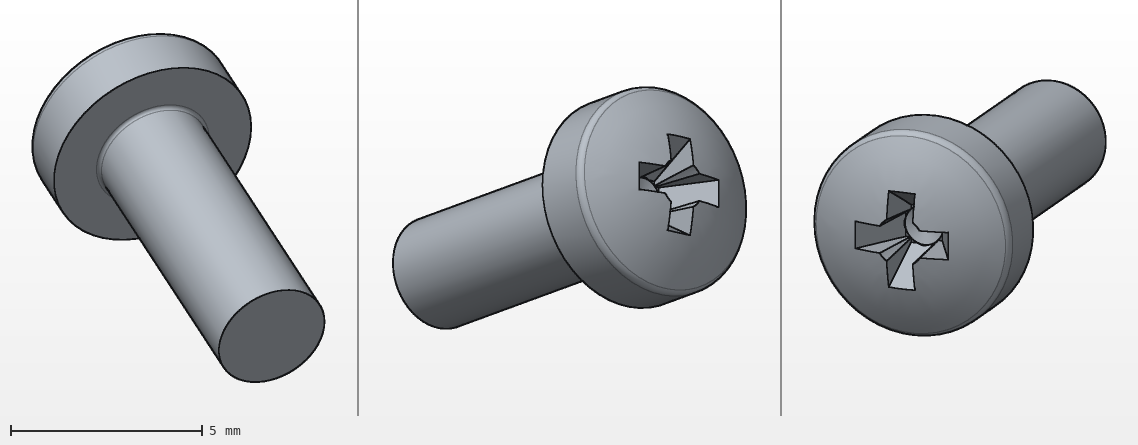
import cadquery as cq
import math

shank_length = 8.0
shank_radius = 1.5
head_radius = 2.8
head_height = 2.4
dome_radius = 5.0
rim_fillet = 0.25
neck_fillet = 0.1

wing_width = 0.74
wing_reach = 1.32
wing_floor_reach = 0.515
core_apex_radius = 0.68
core_floor_radius = 0.54
recess_depth = 1.7
tip_cone_slope = 20.0

apex_x = -head_height
floor_x = apex_x + recess_depth


def make_body():
    """Revolve the half profile of head and shank about the X axis."""
    dome_centre_x = apex_x + dome_radius
    rim_centre_r = head_radius - rim_fillet
    centre_distance = dome_radius - rim_fillet
    rim_centre_x = dome_centre_x - math.sqrt(centre_distance**2 - rim_centre_r**2)
    rim_angle = math.asin(rim_centre_r / centre_distance)

    def dome_point(angle):
        return (dome_centre_x - dome_radius * math.cos(angle), dome_radius * math.sin(angle))

    def rim_point(angle):
        return (rim_centre_x - rim_fillet * math.cos(angle), rim_centre_r + rim_fillet * math.sin(angle))

    neck_mid = neck_fillet * (1 - math.sqrt(0.5))
    return (
        cq.Workplane("XY")
        .moveTo(apex_x, 0)
        .threePointArc(dome_point(rim_angle / 2), dome_point(rim_angle))
        .threePointArc(rim_point((rim_angle + math.pi / 2) / 2), rim_point(math.pi / 2))
        .lineTo(0, head_radius)
        .lineTo(0, shank_radius + neck_fillet)
        .threePointArc((neck_mid, shank_radius + neck_mid), (neck_fillet, shank_radius))
        .lineTo(shank_length, shank_radius)
        .lineTo(shank_length, 0)
        .close()
        .revolve(360, (0, 0, 0), (1, 0, 0))
    )


def make_wing_pair():
    """Tapered blade spanning the recess in Y, with parallel sides across Z."""
    dome_sag = dome_radius - math.sqrt(dome_radius**2 - wing_reach**2)
    taper = (wing_reach - wing_floor_reach) / (recess_depth - dome_sag)
    apex_reach = wing_floor_reach + taper * recess_depth
    return (
        cq.Workplane("XY")
        .polyline([
            (apex_x, -apex_reach),
            (apex_x, apex_reach),
            (floor_x, wing_floor_reach),
            (floor_x, -wing_floor_reach),
        ])
        .close()
        .extrude(wing_width / 2, both=True)
    )


def make_core():
    """Central bore: a frustum that eases the inner corners of the cross, ending in a conical tip."""
    tip_depth = core_floor_radius * math.tan(math.radians(tip_cone_slope))
    return (
        cq.Workplane("XY")
        .polyline([
            (apex_x, 0),
            (apex_x, core_apex_radius),
            (floor_x, core_floor_radius),
            (floor_x + tip_depth, 0),
        ])
        .close()
        .revolve(360, (0, 0, 0), (1, 0, 0))
    )


wings = make_wing_pair()
crossed_wings = wings.rotate((0, 0, 0), (1, 0, 0), 90)
recess = wings.union(crossed_wings).union(make_core())

result = make_body().cut(recess)